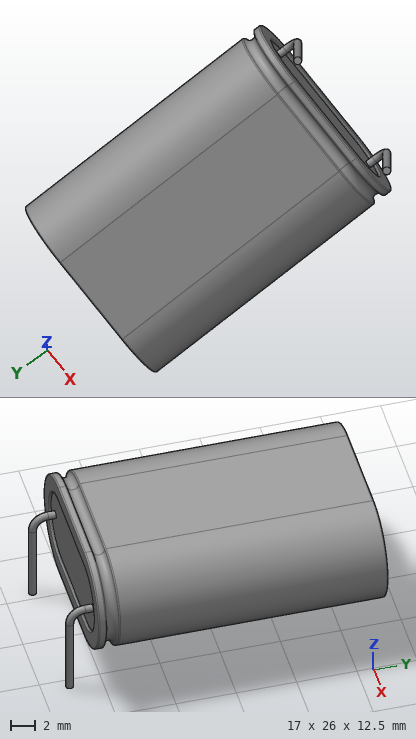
import cadquery as cq

can_width = 17.0
can_height = 9.0
overall_length = 26.0
lead_reach = 2.0
can_length = overall_length - lead_reach
half_flat = (can_width - can_height) / 2
edge_fillet = 0.1

groove_radius = 0.52
groove_setback = 1.2

rim_width = 1.48
recess_depth = 0.2

lead_diameter = 0.65
lead_spacing = 11.5
lead_bend_radius = 1.25
lead_drop = 3.5
lead_tip_y = -(lead_reach - lead_diameter / 2)
lead_tip_z = -can_height / 2 - lead_drop
lead_bend_start_y = lead_tip_y + lead_bend_radius


def obround(width, height):
    """Obround outline in the front plane, long side along X."""
    return cq.Workplane("XZ").slot2D(width, height)


def make_can_blank():
    blank = obround(can_width, can_height).extrude(-can_length)
    return blank.faces("<Y or >Y").edges().fillet(edge_fillet)


def cut_groove(can):
    """Sweep a circle around the can outline to cut the groove, then round its two lips."""
    path = (
        cq.Workplane("XZ", origin=(0, groove_setback, 0))
        .moveTo(-half_flat, can_height / 2)
        .lineTo(half_flat, can_height / 2)
        .threePointArc((can_width / 2, 0), (half_flat, -can_height / 2))
        .lineTo(-half_flat, -can_height / 2)
        .threePointArc((-can_width / 2, 0), (-half_flat, can_height / 2))
        .close()
    )
    section = cq.Workplane("YZ", origin=(-half_flat, groove_setback, can_height / 2)).circle(groove_radius)
    grooved = can.cut(section.sweep(path))
    lip_reach = groove_radius + edge_fillet
    lips = cq.selectors.BoxSelector(
        (-can_width, groove_setback - lip_reach, -can_height),
        (can_width, groove_setback + lip_reach, can_height),
    )
    return grooved.edges(lips).fillet(edge_fillet)


def cut_recess(can):
    """Cut the shallow recess and round the edge where its wall meets the front face."""
    recess = obround(can_width - 2 * rim_width, can_height - 2 * rim_width).extrude(-recess_depth)
    recessed = can.cut(recess)
    shortest_wire = cq.selectors.LengthNthSelector(0)
    return recessed.faces("<Y").wires(shortest_wire).edges().fillet(edge_fillet)


def make_lead(x):
    """Wire that leaves the recess floor along -Y and bends down to its tip."""
    path = (
        cq.Workplane("YZ", origin=(x, 0, 0))
        .moveTo(recess_depth, 0)
        .lineTo(lead_bend_start_y, 0)
        .radiusArc((lead_tip_y, -lead_bend_radius), -lead_bend_radius)
        .lineTo(lead_tip_y, lead_tip_z)
    )
    section = cq.Workplane("XZ", origin=(x, recess_depth, 0)).circle(lead_diameter / 2)
    return section.sweep(path)


result = cut_recess(cut_groove(make_can_blank()))
for side in (-1, 1):
    result = result.union(make_lead(side * lead_spacing / 2))
result = cq.Workplane(result.solids().val())